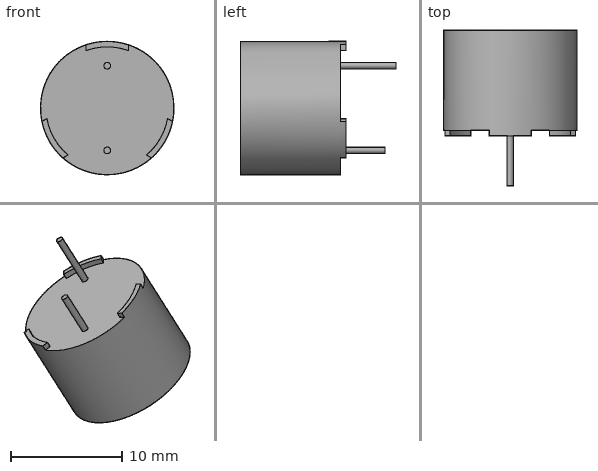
import cadquery as cq

body_diameter = 12.0
total_length = 14.0
long_pin_length = 5.0
short_pin_length = 4.0
body_length = total_length - long_pin_length

pin_diameter = 0.6
pin_spacing = 7.6

foot_count = 3
foot_height = 0.5
foot_width = 3.78
rim_thickness = 0.5
body_radius = body_diameter / 2


def face_plane():
    """Pin face sketch plane: local x is X, local y is Z, normal is -Y."""
    return cq.Workplane("XZ")


def make_pin(height, length):
    """Pin standing out of the pin face at the given Z height."""
    return face_plane().center(0, height).circle(pin_diameter / 2).extrude(length)


def make_foot(angle):
    """Curved foot at the top of the rim, turned about the body axis."""
    rim = (
        face_plane()
        .circle(body_radius)
        .circle(body_radius - rim_thickness)
        .extrude(foot_height)
    )
    upper_strip = (
        face_plane()
        .center(0, body_radius / 2)
        .rect(foot_width, body_radius)
        .extrude(foot_height)
    )
    return rim.intersect(upper_strip).rotate((0, 0, 0), (0, 1, 0), angle)


result = face_plane().circle(body_radius).extrude(-body_length)

for foot_index in range(foot_count):
    result = result.union(make_foot(foot_index * 360 / foot_count))

result = result.union(make_pin(pin_spacing / 2, long_pin_length))
result = result.union(make_pin(-pin_spacing / 2, short_pin_length))